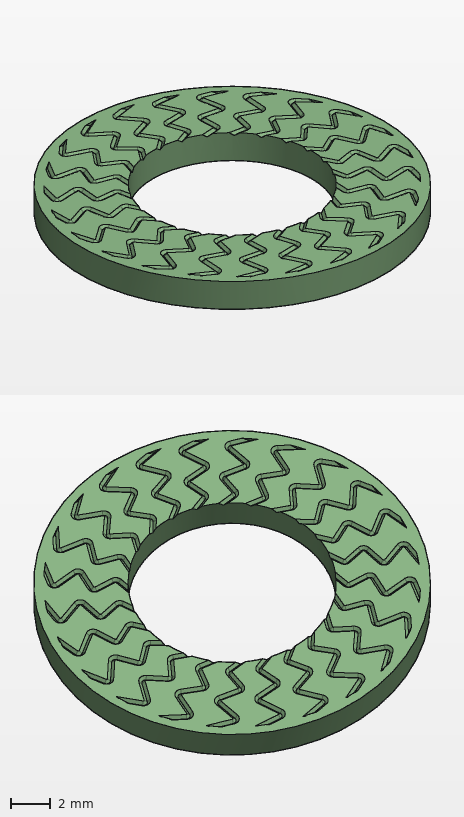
import cadquery as cq
import math

outer_diameter = 20.0
bore_diameter = 10.48
thickness = 1.62

groove_count = 24
groove_width = 0.32
groove_depth = 0.15
bend_radius = 0.2
groove_limit_diameter = 19.0
cutter_overshoot = 0.1

zigzag_corners = [
    (0.45, 9.85),
    (-1.55, 8.92),
    (-0.15, 7.75),
    (-1.48, 6.88),
    (-0.55, 5.82),
    (-1.52, 4.62),
]


def make_washer():
    return (
        cq.Workplane("XY")
        .circle(outer_diameter / 2)
        .circle(bore_diameter / 2)
        .extrude(thickness)
    )


def make_zigzag_path():
    """Groove centerline on the top face, with every bend rounded."""
    corners = [cq.Vector(x, y, thickness) for x, y in zigzag_corners]
    edges = []
    start = corners[0]
    for before, corner, after in zip(corners, corners[1:], corners[2:]):
        back = (before - corner).normalized()
        ahead = (after - corner).normalized()
        half_angle = back.getAngle(ahead) / 2
        setback = bend_radius / math.tan(half_angle)
        middle_reach = bend_radius / math.sin(half_angle) - bend_radius
        arc_start = corner + back * setback
        arc_middle = corner + (back + ahead).normalized() * middle_reach
        arc_end = corner + ahead * setback
        edges.append(cq.Edge.makeLine(start, arc_start))
        edges.append(cq.Edge.makeThreePointArc(arc_start, arc_middle, arc_end))
        start = arc_end
    edges.append(cq.Edge.makeLine(start, corners[-1]))
    return cq.Workplane(cq.Wire.assembleEdges(edges))


def make_groove_cutter():
    """V section swept along the zigzag and trimmed at the limit circle."""
    (x0, y0), (x1, y1) = zigzag_corners[:2]
    section_plane = cq.Plane(
        origin=(x0, y0, thickness),
        xDir=(y0 - y1, x1 - x0, 0),
        normal=(x1 - x0, y1 - y0, 0),
    )
    half_width = groove_width / 2
    section = cq.Workplane(section_plane).polyline(
        [
            (-half_width, cutter_overshoot),
            (-half_width, 0),
            (0, -groove_depth),
            (half_width, 0),
            (half_width, cutter_overshoot),
        ]
    ).close()
    limit = (
        cq.Workplane("XY")
        .circle(groove_limit_diameter / 2)
        .extrude(thickness + cutter_overshoot)
    )
    return section.sweep(make_zigzag_path()).intersect(limit)


result = make_washer()
cutter = make_groove_cutter()
for index in range(groove_count):
    angle = 360 / groove_count * index
    result = result.cut(cutter.rotate((0, 0, 0), (0, 0, 1), angle))